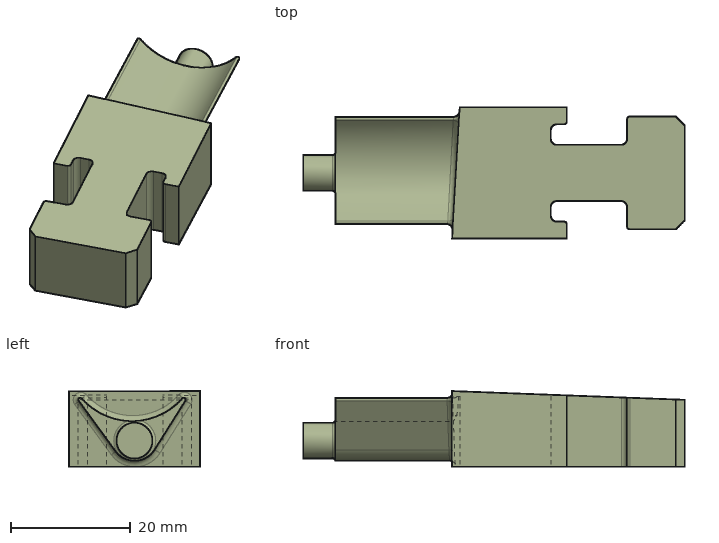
import cadquery as cq
import math

length = 63.7
block_width = 21.9
block_height = 12.7
tail_height = 11.2

front_x_right = 24.85
front_x_left = 26.1
shoulder_x = 44.0
notch_x = 41.35
head_x = 54.0
lip_half_width = 8.1
neck_half_width = 4.7
head_half_width = 9.4
end_chamfer = 1.5
notch_radius = 0.95
corner_radius = 0.5

blade_x = 5.4
tip_radius = 0.3
tip_z = 11.2
tip_left_y = 9.05
tip_right_y = -8.2
trough_z = 7.65
keel_radius = 3.95
keel_z = 4.95
root_fillet = 0.95
blade_overlap = 0.65
face_tolerance = 0.05

pin_diameter = 6.0
pin_z = 4.4
pin_fillet = 0.5


def make_block():
    half = block_width / 2
    left_side = [
        (shoulder_x, half),
        (shoulder_x, lip_half_width),
        (notch_x, lip_half_width),
        (notch_x, neck_half_width),
        (head_x, neck_half_width),
        (head_x, head_half_width),
        (length - end_chamfer, head_half_width),
        (length, head_half_width - end_chamfer),
    ]
    right_side = [(x, -y) for x, y in reversed(left_side)]
    front = [(front_x_right, -half), (front_x_left, half)]
    block = cq.Workplane("XY").polyline(left_side + right_side + front).close().extrude(block_height)

    def round_edges(solid, corners, radius):
        for x, y in corners:
            for side in (1, -1):
                solid = solid.edges(cq.NearestToPointSelector((x, side * y, block_height / 2))).fillet(radius)
        return solid

    block = round_edges(
        block,
        [(notch_x, lip_half_width), (notch_x, neck_half_width), (head_x, neck_half_width)],
        notch_radius,
    )
    block = round_edges(block, [(shoulder_x, lip_half_width), (head_x, head_half_width)], corner_radius)

    wedge = (
        cq.Workplane("XZ")
        .polyline([(front_x_right, 0), (length, 0), (length, tail_height), (front_x_right, block_height)])
        .close()
        .extrude(half, both=True)
    )
    return block.intersect(wedge)


def point_at(center, radius, angle):
    return (center[0] + radius * math.cos(angle), center[1] + radius * math.sin(angle))


def make_blade(start_x, end_x):
    """Scoop section: straight flanks tangent to keel and tips, trough arc tangent to both tips."""
    keel = (0, keel_z)
    half_span = (tip_left_y - tip_right_y) / 2
    middle_y = (tip_left_y + tip_right_y) / 2
    tip_rise = tip_z - trough_z
    trough_radius = (half_span**2 + tip_rise**2 - tip_radius**2) / (2 * (tip_rise + tip_radius))
    trough_center_z = trough_z + trough_radius

    def tip_side(tip_y):
        """Keel tangent, flank tangent, tip crown and trough tangent for one side."""
        tip = (tip_y, tip_z)
        run = abs(tip_y)
        rise = tip_z - keel_z
        normal = math.atan2(rise, run) - math.acos((keel_radius - tip_radius) / math.hypot(run, rise))
        toward_trough = math.atan2(trough_center_z - tip_z, -half_span)
        crown = (normal + toward_trough) / 2
        angles = [normal, crown, toward_trough]
        if tip_y < 0:
            angles = [math.pi - angle for angle in angles]
        return [point_at(keel, keel_radius, angles[0])] + [point_at(tip, tip_radius, angle) for angle in angles]

    left_keel, left_flank, left_crown, left_trough = tip_side(tip_left_y)
    right_keel, right_flank, right_crown, right_trough = tip_side(tip_right_y)
    return (
        cq.Workplane("YZ", origin=(start_x, 0, 0))
        .moveTo(*left_flank)
        .lineTo(*left_keel)
        .threePointArc((0, keel_z - keel_radius), right_keel)
        .lineTo(*right_flank)
        .threePointArc(right_crown, right_trough)
        .threePointArc((middle_y, trough_z), left_trough)
        .threePointArc(left_crown, left_flank)
        .close()
        .extrude(end_x - start_x)
    )


def make_pin():
    return cq.Workplane("YZ").center(0, pin_z).circle(pin_diameter / 2).extrude(blade_x)


def make_pin_flare():
    """Concave flare at the pin base, trimmed to the blade section."""
    radius = pin_diameter / 2
    bend = pin_fillet * (1 - math.sqrt(0.5))
    flare = (
        cq.Workplane("XY", origin=(0, 0, pin_z))
        .moveTo(blade_x - pin_fillet, 0)
        .lineTo(blade_x - pin_fillet, radius)
        .threePointArc((blade_x - bend, radius + bend), (blade_x, radius + pin_fillet))
        .lineTo(blade_x, 0)
        .close()
        .revolve(360, (0, 0, 0), (1, 0, 0))
    )
    return flare.intersect(make_blade(blade_x - pin_fillet, blade_x))


def in_root(edge):
    """True for the edges where the blade meets the slanted front face."""
    center = edge.Center()
    slope = (front_x_left - front_x_right) / block_width
    face_x = (front_x_left + front_x_right) / 2 + slope * center.y
    on_face = abs(center.x - face_x) < face_tolerance
    within_width = tip_right_y - tip_radius < center.y < tip_left_y + tip_radius
    within_height = keel_z - keel_radius < center.z < tip_z + tip_radius
    return on_face and within_width and within_height


body = make_block().union(make_blade(blade_x, front_x_left + blade_overlap))
root_edges = [edge for edge in body.edges().vals() if in_root(edge)]
body = body.newObject(root_edges).fillet(root_fillet)
result = body.union(make_pin()).union(make_pin_flare())